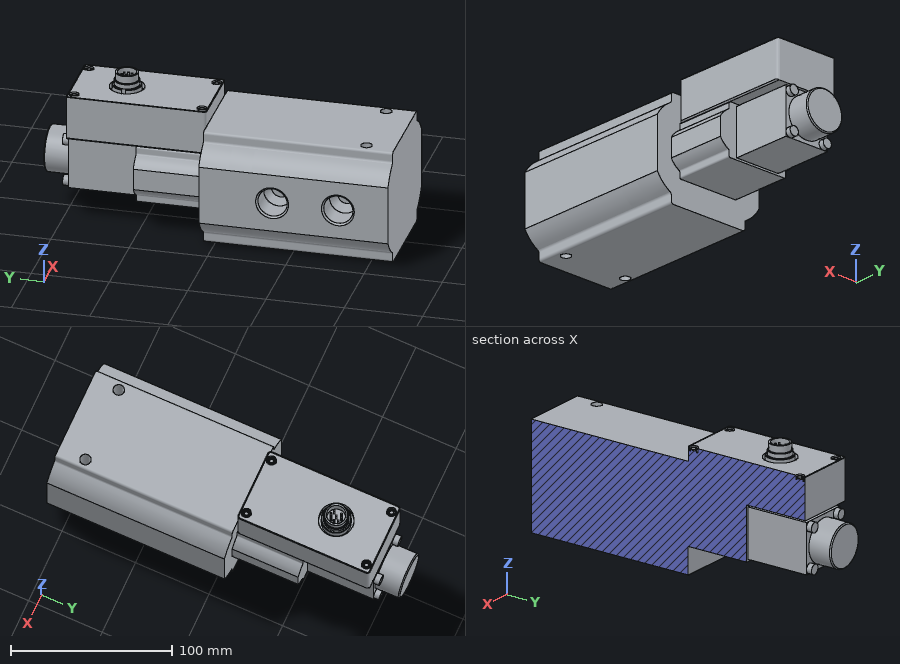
import cadquery as cq
import math

cover_end = 87.2
adapter_end = 101.6
body_length = 120.8
motor_end = 165.6
block_end = 210.5
screw_head_end = 214.3
total_length = 227.1

body_half_width = 43.0
body_half_height = 38.0
body_step_half_width = 31.2
body_flat_half_height = 19.2
body_shoulder_height = 30.4
body_corner_radius = 2.0
body_bulge_radius = 29.0

motor_half_width = 31.2
motor_half_height = 19.0
motor_step_half_width = 24.0
motor_flat_half_height = 7.0
motor_shoulder_height = 13.6
motor_corner_radius = 1.3
motor_bulge_radius = 17.5

root_fillet_turn = math.radians(50)

cross_hole_diameter = 7.0
cross_hole_spacing = 50.0
cross_hole_y = 18.2

port_positions = (32.0, 74.0)
port_floor_diameters = (11.0, 12.0)
port_diameter = 18.63
port_mouth_diameter = 21.0
port_depth = 16.0
port_cone_depth = 6.0

block_size = 35.0
cap_diameter = 30.0
cap_edge = 0.8
screw_head_diameter = 7.0
screw_spacing = 28.0

box_width = 48.4
box_bottom = 19.0
box_top = 48.1
box_corner_radius = 2.0
box_bottom_chamfer = 1.0
lid_rim_width = 0.6
lid_rim_height = 0.15
spacer_diameter = 5.5
spacer_positions = (185.3, 203.3)

lid_screw_spacing_x = 37.7
lid_screw_inset = 4.05
lid_screw_bore = 6.0
lid_screw_bore_depth = 3.0
lid_screw_head = 5.0
lid_screw_head_height = 2.5
lid_screw_socket = 2.7
lid_screw_socket_depth = 1.5
lid_screw_edge = 0.5

connector_y = 177.4
connector_top = 58.1
connector_recess_diameter = 22.0
connector_recess_depth = 4.0
nut_diameter = 18.63
nut_notch_diameter = 2.7
nut_top = 50.0
collar_diameter = 16.0
collar_top = 53.3
connector_edge = 0.4
barrel_diameter = 14.4
socket_diameter = 12.0
socket_depth = 7.0
pin_diameter = 1.1
pin_circle_diameter = 7.0
pin_height = 5.0
pin_places = 8
empty_pin_place = 4


def notched_profile(
    half_width, half_height, step, flat, shoulder, corner_radius, bulge_radius, start, end
):
    """Prism along Y whose four corners are stepped and gently rounded."""
    bulge_start = (step + corner_radius * (1 - math.cos(root_fillet_turn)), shoulder)
    bulge_end = (half_width, flat)
    chord_x = bulge_end[0] - bulge_start[0]
    chord_z = bulge_end[1] - bulge_start[1]
    chord = math.hypot(chord_x, chord_z)
    sag = bulge_radius - math.sqrt(bulge_radius**2 - (chord / 2) ** 2)
    middle = (
        (bulge_start[0] + bulge_end[0]) / 2 - sag * chord_z / chord,
        (bulge_start[1] + bulge_end[1]) / 2 + sag * chord_x / chord,
    )
    diagonal = math.cos(math.radians(45))
    corner_center = (step - corner_radius, half_height - corner_radius)
    corner_middle = tuple(c + corner_radius * diagonal for c in corner_center)
    root_start = (step, shoulder + corner_radius * math.sin(root_fillet_turn))
    root_middle = (
        step + corner_radius * (1 - math.cos(root_fillet_turn / 2)),
        root_start[1] - corner_radius * math.sin(root_fillet_turn / 2),
    )
    quarter = (
        cq.Workplane("XZ", origin=(0, start, 0))
        .moveTo(0, 0)
        .lineTo(0, half_height)
        .lineTo(corner_center[0], half_height)
        .threePointArc(corner_middle, (step, corner_center[1]))
        .lineTo(*root_start)
        .threePointArc(root_middle, bulge_start)
        .threePointArc(middle, bulge_end)
        .lineTo(half_width, 0)
        .close()
        .extrude(start - end)
    )
    half = quarter.union(quarter.mirror("YZ"))
    return half.union(half.mirror("XY")).clean()


def cylinder_z(diameter, x, y, bottom, top):
    return cq.Workplane("XY", origin=(x, y, bottom)).circle(diameter / 2).extrude(top - bottom)


def cylinder_y(diameter, x, z, start, end):
    return cq.Workplane("XZ", origin=(x, start, z)).circle(diameter / 2).extrude(start - end)


def body_section(start, end):
    return notched_profile(
        body_half_width,
        body_half_height,
        body_step_half_width,
        body_flat_half_height,
        body_shoulder_height,
        body_corner_radius,
        body_bulge_radius,
        start,
        end,
    )


def port_cutter(y, floor_diameter):
    """Chamfered bore with a conical end, entering from the -X side."""
    bore_radius = port_diameter / 2
    mouth_radius = port_mouth_diameter / 2
    chamfer = mouth_radius - bore_radius
    outline = [
        (-body_half_width, 0),
        (-body_half_width, mouth_radius),
        (-body_half_width + chamfer, bore_radius),
        (-body_half_width + port_depth, bore_radius),
        (-body_half_width + port_depth + port_cone_depth, floor_diameter / 2),
        (-body_half_width + port_depth + port_cone_depth, 0),
    ]
    return cq.Workplane("XY", origin=(0, y, 0)).polyline(outline).close().revolve(360, (0, 0), (1, 0))


def make_body():
    """Three housings in a row; the joints stay as lines on the outside."""
    cover = body_section(0, cover_end)
    for side in (-1, 1):
        cover = cover.cut(
            cylinder_z(
                cross_hole_diameter,
                side * cross_hole_spacing / 2,
                cross_hole_y,
                -body_half_height,
                body_half_height,
            )
        )
    for y, floor_diameter in zip(port_positions, port_floor_diameters):
        cover = cover.cut(port_cutter(y, floor_diameter))
    adapter = body_section(cover_end, adapter_end)
    flange = body_section(adapter_end, body_length)
    return cover.union(adapter, clean=False).union(flange, clean=False)


def make_motor():
    return notched_profile(
        motor_half_width,
        motor_half_height,
        motor_step_half_width,
        motor_flat_half_height,
        motor_shoulder_height,
        motor_corner_radius,
        motor_bulge_radius,
        body_length,
        motor_end,
    )


def make_rear():
    """Square block with a round cap and four screw heads on its back."""
    block = (
        cq.Workplane("XZ", origin=(0, motor_end, 0))
        .rect(block_size, block_size)
        .extrude(motor_end - block_end)
    )
    cap = cylinder_y(cap_diameter, 0, 0, block_end, total_length).faces(">Y").chamfer(cap_edge)
    rear = block.union(cap)
    for x in (-screw_spacing / 2, screw_spacing / 2):
        for z in (-screw_spacing / 2, screw_spacing / 2):
            rear = rear.union(cylinder_y(screw_head_diameter, x, z, block_end, screw_head_end))
    return rear


def make_lid_screw(x, y):
    """Chamfered screw head with a round socket."""
    floor = box_top - lid_screw_bore_depth
    head_top = floor + lid_screw_head_height
    head = cylinder_z(lid_screw_head, x, y, floor, head_top).faces(">Z").chamfer(lid_screw_edge)
    socket = cylinder_z(lid_screw_socket, x, y, head_top - lid_screw_socket_depth, head_top)
    return head.cut(socket)


def make_box():
    """Lidded box with four sunken screws, carried on spacers above the rear block."""
    box_length = block_end - body_length
    box_center_y = body_length + box_length / 2
    box = (
        cq.Workplane("XY", origin=(0, box_center_y, box_bottom))
        .rect(box_width, box_length)
        .extrude(box_top - lid_rim_height - box_bottom)
        .faces("<Z")
        .edges("|Y")
        .chamfer(box_bottom_chamfer)
        .edges("|Z")
        .fillet(box_corner_radius)
    )
    lid = (
        cq.Workplane("XY", origin=(0, box_center_y, box_top - lid_rim_height))
        .rect(box_width - 2 * lid_rim_width, box_length - 2 * lid_rim_width)
        .extrude(lid_rim_height)
        .edges("|Z")
        .fillet(box_corner_radius - lid_rim_width)
    )
    box = box.union(lid)
    for x in (-lid_screw_spacing_x / 2, lid_screw_spacing_x / 2):
        for y in (body_length + lid_screw_inset, block_end - lid_screw_inset):
            box = box.cut(cylinder_z(lid_screw_bore, x, y, box_top - lid_screw_bore_depth, box_top))
            box = box.union(make_lid_screw(x, y))
    for y in spacer_positions:
        box = box.union(cylinder_z(spacer_diameter, 0, y, block_size / 2, box_bottom))
    return box


def make_connector():
    """Notched nut, collar and open barrel with contact pins, one ring place left empty."""
    recess_floor = box_top - connector_recess_depth
    nut = cylinder_z(nut_diameter, 0, connector_y, recess_floor, nut_top)
    nut = nut.faces(">Z").chamfer(connector_edge)
    nut = nut.cut(cylinder_z(nut_notch_diameter, -nut_diameter / 2, connector_y, recess_floor, nut_top))
    collar = cylinder_z(collar_diameter, 0, connector_y, nut_top, collar_top)
    collar = collar.faces(">Z").chamfer(connector_edge)
    connector = nut.union(collar)
    connector = connector.union(cylinder_z(barrel_diameter, 0, connector_y, collar_top, connector_top))
    socket_floor = connector_top - socket_depth
    connector = connector.cut(cylinder_z(socket_diameter, 0, connector_y, socket_floor, connector_top))
    pin_top = socket_floor + pin_height
    connector = connector.union(cylinder_z(pin_diameter, 0, connector_y, socket_floor, pin_top))
    for place in range(pin_places):
        if place == empty_pin_place:
            continue
        angle = 2 * math.pi * place / pin_places
        x = pin_circle_diameter / 2 * math.cos(angle)
        y = connector_y + pin_circle_diameter / 2 * math.sin(angle)
        connector = connector.union(cylinder_z(pin_diameter, x, y, socket_floor, pin_top))
    return connector


def make_electronics():
    """Box on spacers, with the connector standing in a round recess of its lid."""
    recess_floor = box_top - connector_recess_depth
    recess = cylinder_z(connector_recess_diameter, 0, connector_y, recess_floor, box_top)
    return make_box().cut(recess).union(make_connector())


result = make_body()
for piece in (make_motor(), make_rear(), make_electronics()):
    result = result.union(piece, clean=False)